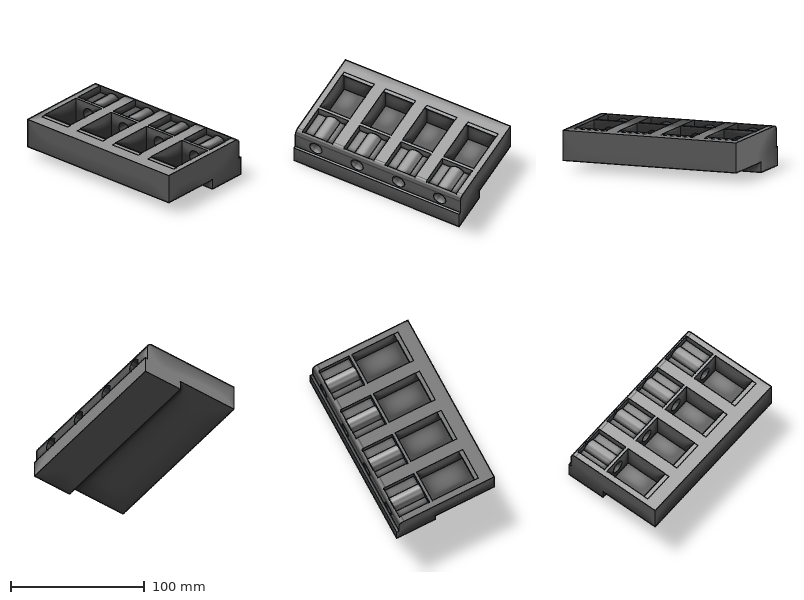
import cadquery as cq

length = 140.0
depth = 82.5
height = 31.0

wall = 2.4
foot_height = 8.0
ledge_height = 14.3
ledge_depth = 2.1
back_edge_radius = 4.0

station_count = 4
station_pitch = length / station_count
opening_width = 25.5

recess_back = -2 * wall
recess_front = recess_back - opening_width
recess_floor = 24.9
pocket_length = 35.4
pocket_back = recess_front - wall
pocket_front = pocket_back - pocket_length
pocket_floor = 10.9

lip_thickness = 0.5
lip_reach = 3.5

bore_height = 21.0
tube_radius = 7.0
bore_radius = 5.2


def make_body():
    """Stepped side profile extruded along X, with the upper back edge rounded."""
    profile = [
        (0, 0),
        (0, ledge_height),
        (-ledge_depth, ledge_height),
        (-ledge_depth, height),
        (-depth, height),
        (-depth, foot_height),
        (pocket_back, foot_height),
        (pocket_back, 0),
    ]
    body = cq.Workplane("YZ").polyline(profile).close().extrude(length / 2, both=True)
    upper_back_edge = cq.selectors.NearestToPointSelector((0, -ledge_depth, height))
    return body.edges(upper_back_edge).fillet(back_edge_radius)


def opening(x, back, front, floor, ceiling=height):
    """Rectangular space from the given floor up to the ceiling, by default the top face."""
    return cq.Workplane("XY").box(
        opening_width, back - front, ceiling - floor, centered=(True, False, False)
    ).translate((x, front, floor))


def pocket(x):
    """Deep pocket whose front end reaches beneath the lip."""
    mouth = opening(x, pocket_back, pocket_front, pocket_floor)
    undercut = opening(
        x, pocket_back, pocket_front - lip_reach, pocket_floor, height - lip_thickness
    )
    return mouth.union(undercut)


def rod(x, radius, back, front):
    """Cylinder along Y on the bore axis."""
    return (
        cq.Workplane("XZ", origin=(x, back, bore_height))
        .circle(radius)
        .extrude(back - front)
    )


result = make_body()
for station in range(station_count):
    x = (station - (station_count - 1) / 2) * station_pitch
    tube = rod(x, tube_radius, recess_back, recess_front)
    result = result.cut(opening(x, recess_back, recess_front, recess_floor).cut(tube))
    result = result.cut(pocket(x))
    result = result.cut(rod(x, bore_radius, 0, pocket_back))